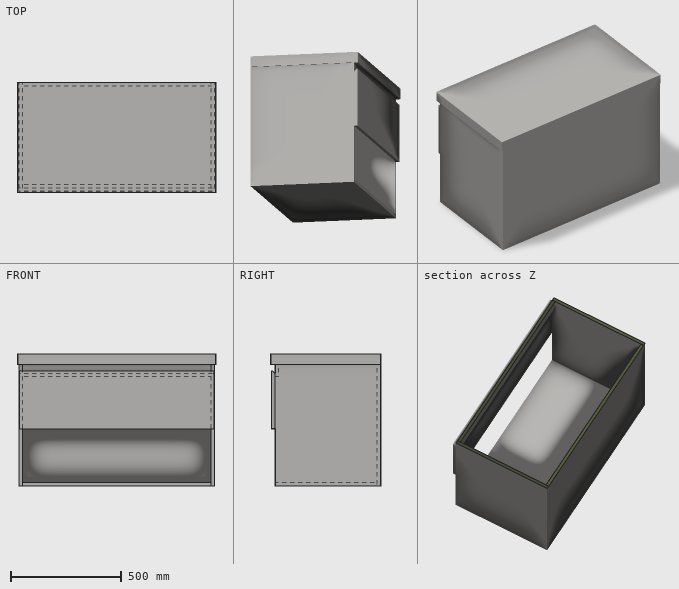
import cadquery as cq

width = 900.0
depth = 500.0
height = 600.0
board = 16.0

worktop_thickness = 49.0
worktop_edge_radius = 1.0
worktop_side_overhang = 5.0
worktop_front_overhang = 20.0

drawer_gap = 28.0
drawer_height = 264.0
drawer_side_inset = 4.0
drawer_top_land = 4.0

rail_height = 54.0

carcass_width = width - 2 * worktop_side_overhang
carcass_height = height - worktop_thickness
carcass_front = -depth / 2 + worktop_front_overhang
carcass_depth = depth - worktop_front_overhang
inner_width = carcass_width - 2 * board
back_inner_face = depth / 2 - board


def make_box(size_x, size_y, size_z, front, bottom, center_x=0.0):
    """Box centred at center_x, rising from bottom and running back from front."""
    return cq.Workplane("XY").box(size_x, size_y, size_z, centered=(True, False, False)).translate(
        (center_x, front, bottom)
    )


def make_worktop():
    """Slab with softened top edges and upright corners."""
    slab = make_box(width, depth, worktop_thickness, -depth / 2, carcass_height)
    return slab.edges("|Z or >Z").fillet(worktop_edge_radius)


def make_side_panel(side):
    """Full-height end panel; side is -1 for left and 1 for right."""
    center_x = side * (carcass_width - board) / 2
    return make_box(board, carcass_depth, carcass_height, carcass_front, 0, center_x)


def make_bottom_panel():
    """Floor between the side panels, in front of the back panel."""
    return make_box(inner_width, back_inner_face - carcass_front, board, carcass_front, 0)


def make_back_panel():
    """Upright panel closing the rear between the side panels."""
    return make_box(inner_width, board, carcass_height, back_inner_face, 0)


def make_rail():
    """Front rail under the worktop, flush with the side panels."""
    return make_box(inner_width, board, rail_height, carcass_front, carcass_height - rail_height)


def make_drawer_front():
    """Panel on the carcass face, its top bevelled down at 45 degrees to the rear as a finger grip."""
    drawer_top = carcass_height - drawer_gap
    drawer_bottom = drawer_top - drawer_height
    drawer_width = carcass_width - 2 * drawer_side_inset
    front = carcass_front - board
    profile = [
        (front, drawer_bottom),
        (carcass_front, drawer_bottom),
        (carcass_front, drawer_top - (board - drawer_top_land)),
        (front + drawer_top_land, drawer_top),
        (front, drawer_top),
    ]
    return cq.Workplane("YZ").polyline(profile).close().extrude(drawer_width / 2, both=True)


worktop = make_worktop()
side_panels = [make_side_panel(side) for side in (-1, 1)]
bottom_panel = make_bottom_panel()
back_panel = make_back_panel()
rail = make_rail()
drawer_front = make_drawer_front()

result = cq.Compound.makeCompound([
    worktop.val(),
    *[panel.val() for panel in side_panels],
    bottom_panel.val(),
    back_panel.val(),
    rail.val(),
    drawer_front.val(),
])